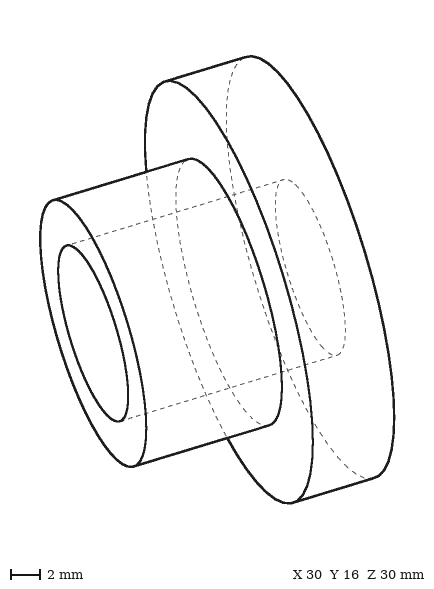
import cadquery as cq

flange_diameter = 30.0
hub_diameter = 18.95
bore_diameter = 12.5
total_length = 16.0
flange_thickness = 6.0
hub_length = total_length - flange_thickness


def cylinder_along_y(diameter, length):
    """Cylinder from the XZ plane toward -Y (positive length) or +Y (negative)."""
    return cq.Workplane("XZ").circle(diameter / 2).extrude(length)


flange = cylinder_along_y(flange_diameter, -flange_thickness)
hub = cylinder_along_y(hub_diameter, hub_length)
body = flange.union(hub)

result = body.faces("<Y").workplane(centerOption="CenterOfMass").hole(bore_diameter)